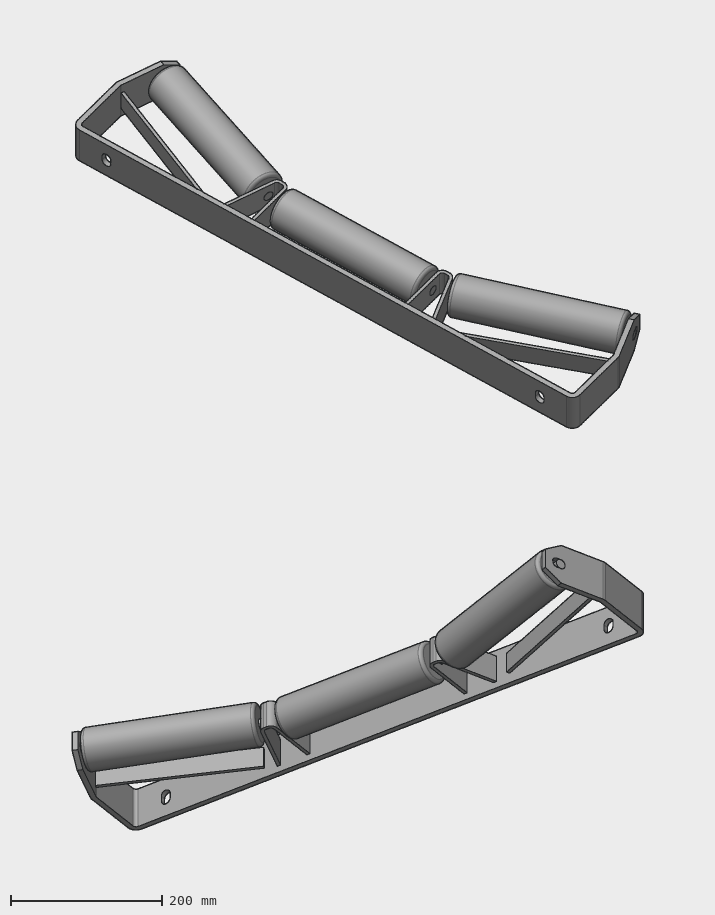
import cadquery as cq
import math

frame_length = 830.0
frame_rise = 188.0
frame_depth = 60.0
frame_thickness = 8.0
frame_bend_radius = 5.0
arm_bend_y = 99.0
tilt = 20.0

arm_tip_depth = 29.0
arm_taper_length = 26.0
seat_length = 20.0

mount_slot_x = 358.0
mount_slot_width = 14.0
mount_slot_length = 21.5

roller_diameter = 60.0
roller_length = 239.0
roller_rim_radius = 5.0
shaft_diameter = 14.0
middle_span = 249.0
outer_span = 246.5
middle_axis_y = 70.0
outer_axis_drop = 25.0

bracket_depth = 40.0
bracket_thickness = 5.0
bracket_top_y = 94.0
bracket_bend_radius = 5.0

brace_depth = 30.0
brace_thickness = 5.0
brace_foot_x = -198.0
brace_angle = 23.3

tilt_rad = math.radians(tilt)
sin_tilt = math.sin(tilt_rad)
cos_tilt = math.cos(tilt_rad)
half_length = frame_length / 2
inner_wall_x = frame_thickness - half_length
arm_tip_x = (frame_rise - arm_bend_y) * math.tan(tilt_rad) - half_length


def from_arm_tip(inward, down):
    """XY point reached from the arm's outer tip: inward along the roller axis, then down the arm."""
    x = arm_tip_x + inward * cos_tilt - down * sin_tilt
    y = frame_rise - inward * sin_tilt - down * cos_tilt
    return (x, y)


outer_roller_center = from_arm_tip(frame_thickness + outer_span / 2, outer_axis_drop)


def mirrored(point):
    return (-point[0], point[1])


def extrude_outline(points, depth):
    """Plate with an XY outline, centred on Z = 0."""
    return cq.Workplane("XY").polyline(points).close().extrude(depth / 2, both=True)


def round_corners(body, points, radius):
    """Round the Z edges that stand at the given XY points."""
    reach = 0.4
    for x, y in points:
        around = cq.selectors.BoxSelector(
            (x - reach, y - reach, -frame_depth),
            (x + reach, y + reach, frame_depth),
        )
        body = body.edges("|Z").edges(around).fillet(radius)
    return body


def on_outer_axis(body):
    """Move a body built along X through the origin onto the left roller's axis."""
    return body.rotate((0, 0, 0), (0, 0, 1), -tilt).translate((*outer_roller_center, 0))


def make_arm_cutter():
    """Material removed from the left arm: both tip corners and the shaft seat."""
    cutter_length = 3 * frame_thickness
    cutter_start = -outer_span / 2 - 2 * frame_thickness
    across_arm = cq.Workplane("YZ", origin=(cutter_start, 0, 0))
    tip_y = outer_axis_drop
    corner_points = [
        (tip_y, arm_tip_depth / 2),
        (tip_y, frame_depth / 2),
        (tip_y - arm_taper_length, frame_depth / 2),
    ]
    corner = across_arm.polyline(corner_points).close().extrude(cutter_length)
    seat = (
        across_arm.center((seat_length - shaft_diameter) / 2, 0)
        .slot2D(seat_length, shaft_diameter)
        .extrude(cutter_length)
    )
    return on_outer_axis(corner.union(corner.mirror("XY")).union(seat))


def make_mount_slots():
    return (
        cq.Workplane("XZ")
        .pushPoints([(-mount_slot_x, 0), (mount_slot_x, 0)])
        .slot2D(mount_slot_length, mount_slot_width, 90)
        .extrude(-frame_thickness)
    )


def make_frame():
    base_outer = (-half_length, 0)
    base_inner = (inner_wall_x, frame_thickness)
    bend_outer = (-half_length, arm_bend_y)
    bend_inner = (inner_wall_x, arm_bend_y - frame_thickness * math.tan(tilt_rad / 2))
    tip_outer = from_arm_tip(0, 0)
    tip_inner = from_arm_tip(frame_thickness, 0)
    left_points = [base_outer, bend_outer, tip_outer, tip_inner, bend_inner, base_inner]
    right_points = [mirrored(point) for point in reversed(left_points)]
    frame = extrude_outline(left_points + right_points, frame_depth)

    outer_corners = [base_outer, bend_outer, mirrored(base_outer), mirrored(bend_outer)]
    inner_corners = [base_inner, bend_inner, mirrored(base_inner), mirrored(bend_inner)]
    frame = round_corners(frame, outer_corners, frame_bend_radius + frame_thickness)
    frame = round_corners(frame, inner_corners, frame_bend_radius)

    arm_cutter = make_arm_cutter()
    return frame.cut(arm_cutter).cut(arm_cutter.mirror("YZ")).cut(make_mount_slots())


def make_roller(span, left_plate, right_plate):
    """Roller whose shaft crosses the span and ends flush with the far side of each plate."""
    barrel = (
        cq.Workplane("YZ", origin=(-roller_length / 2, 0, 0))
        .circle(roller_diameter / 2)
        .extrude(roller_length)
        .edges("%CIRCLE")
        .fillet(roller_rim_radius)
    )
    shaft = (
        cq.Workplane("YZ", origin=(-span / 2 - left_plate, 0, 0))
        .circle(shaft_diameter / 2)
        .extrude(left_plate + span + right_plate)
    )
    return barrel.union(shaft)


def make_middle_roller():
    roller = make_roller(middle_span, bracket_thickness, bracket_thickness)
    return roller.translate((0, middle_axis_y, 0))


def make_left_roller():
    return on_outer_axis(make_roller(outer_span, frame_thickness, bracket_thickness))


def make_left_bracket(left_roller, middle_roller):
    def on_leaning_leg(inward, y):
        """Point at height y on a line parallel to the arm, the given distance inward of it."""
        return from_arm_tip(inward, (frame_rise - y - inward * sin_tilt) / cos_tilt)

    base_y = frame_thickness
    under_y = bracket_top_y - bracket_thickness
    leaning_outer = frame_thickness + outer_span
    leaning_inner = leaning_outer + bracket_thickness
    upright_outer = -middle_span / 2
    upright_inner = upright_outer - bracket_thickness

    outer_corners = [on_leaning_leg(leaning_outer, bracket_top_y), (upright_outer, bracket_top_y)]
    inner_corners = [(upright_inner, under_y), on_leaning_leg(leaning_inner, under_y)]
    outline = [
        on_leaning_leg(leaning_outer, base_y),
        *outer_corners,
        (upright_outer, base_y),
        (upright_inner, base_y),
        *inner_corners,
        on_leaning_leg(leaning_inner, base_y),
    ]
    bracket = extrude_outline(outline, bracket_depth)
    bracket = round_corners(bracket, outer_corners, bracket_bend_radius + bracket_thickness)
    bracket = round_corners(bracket, inner_corners, bracket_bend_radius)
    return bracket.cut(left_roller).cut(middle_roller)


def make_left_brace(frame):
    length = (brace_foot_x - inner_wall_x) / math.cos(math.radians(brace_angle))
    bar = cq.Workplane("XY").box(length, brace_thickness, brace_depth, centered=(False, False, True))
    brace = (
        bar.translate((-length, 0, 0))
        .rotate((0, 0, 0), (0, 0, 1), -brace_angle)
        .translate((brace_foot_x, frame_thickness, 0))
    )
    return brace.cut(frame)


frame = make_frame()
middle_roller = make_middle_roller()
left_roller = make_left_roller()
left_bracket = make_left_bracket(left_roller, middle_roller)
left_brace = make_left_brace(frame)

bodies = [frame.solids().val(), middle_roller.solids().val()]
for left_body in (left_roller, left_bracket, left_brace):
    bodies.append(left_body.solids().val())
    bodies.append(left_body.mirror("YZ").solids().val())

result = cq.Compound.makeCompound(bodies)